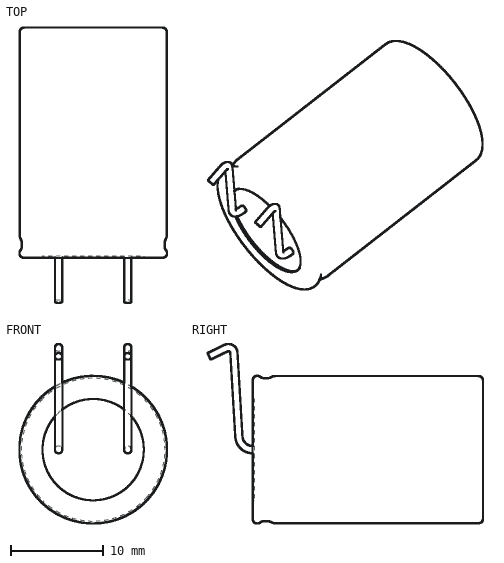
import cadquery as cq
import math

OVERALL_LENGTH = 29.9
LEAD_REACH = 4.9
CAN_LENGTH = OVERALL_LENGTH - LEAD_REACH

CAN_RADIUS = 7.995
BACK_FILLET = 0.5

RIM_RADIUS = 8.025
RIM_ROUND = 0.5
GROOVE_RADIUS = 7.77
RIM_END = 0.85
GROOVE_START = 1.2
GROOVE_END = 1.65
SHOULDER_START = 2.0
SHOULDER_END = 2.45

RECESS_RADIUS = 5.5
RECESS_DEPTH = 0.2

LEAD_RADIUS = 0.405
LEAD_SPACING = 7.5
LEAD_EMBED = 0.3
LOWER_BEND_RADIUS = 1.5
UPPER_BEND_RADIUS = 0.6
RISER_LENGTH = 9.12
RISER_ANGLE = 86.6
TIP_ANGLE = -26.0


def inflection_radius(start, middle, end, start_radius, end_radius):
    """Radius where two tangent arcs meet, both being parallel to the axis at their outer ends."""
    return start_radius + (end_radius - start_radius) * (middle - start) / (end - start)


def make_can():
    """Revolve the can profile, drawn as (radius, y), about the Y axis."""
    rim_center_radius = RIM_RADIUS - RIM_ROUND
    rim_end_radius = rim_center_radius + math.sqrt(RIM_ROUND**2 - (RIM_END - RIM_ROUND) ** 2)
    shoulder_radius = inflection_radius(
        GROOVE_END, SHOULDER_START, SHOULDER_END, GROOVE_RADIUS, CAN_RADIUS
    )
    profile = (
        cq.Workplane("XY")
        .moveTo(0, RECESS_DEPTH)
        .lineTo(RECESS_RADIUS, RECESS_DEPTH)
        .lineTo(RECESS_RADIUS, 0)
        .lineTo(rim_center_radius, 0)
        .threePointArc((RIM_RADIUS, RIM_ROUND), (rim_end_radius, RIM_END))
        .tangentArcPoint((GROOVE_RADIUS, GROOVE_START), relative=False)
        .lineTo(GROOVE_RADIUS, GROOVE_END)
        .tangentArcPoint((shoulder_radius, SHOULDER_START), relative=False)
        .tangentArcPoint((CAN_RADIUS, SHOULDER_END), relative=False)
        .lineTo(CAN_RADIUS, CAN_LENGTH - BACK_FILLET)
        .tangentArcPoint((CAN_RADIUS - BACK_FILLET, CAN_LENGTH), relative=False)
        .lineTo(0, CAN_LENGTH)
        .close()
    )
    return profile.revolve(360, (0, 0, 0), (0, 1, 0))


def make_lead(x):
    """Sweep a round wire out of the face, up a leaning riser and over to the tip."""
    riser = math.radians(RISER_ANGLE)
    tip = math.radians(TIP_ANGLE)

    riser_start = (
        -LOWER_BEND_RADIUS * math.sin(riser),
        LOWER_BEND_RADIUS * (1 - math.cos(riser)),
    )
    riser_end = (
        riser_start[0] - RISER_LENGTH * math.cos(riser),
        riser_start[1] + RISER_LENGTH * math.sin(riser),
    )
    tip_start = (
        riser_end[0] - UPPER_BEND_RADIUS * (math.sin(riser) - math.sin(tip)),
        riser_end[1] + UPPER_BEND_RADIUS * (math.cos(tip) - math.cos(riser)),
    )
    tip_end_y = -LEAD_REACH + LEAD_RADIUS * abs(math.sin(tip))
    tip_end = (tip_end_y, tip_start[1] + (tip_start[0] - tip_end_y) * math.tan(tip))

    start_y = RECESS_DEPTH + LEAD_EMBED
    path = (
        cq.Workplane("YZ", origin=(x, 0, 0))
        .moveTo(start_y, 0)
        .lineTo(0, 0)
        .tangentArcPoint(riser_start, relative=False)
        .lineTo(*riser_end)
        .tangentArcPoint(tip_start, relative=False)
        .lineTo(*tip_end)
    )
    return cq.Workplane("XZ", origin=(x, start_y, 0)).circle(LEAD_RADIUS).sweep(path)


result = make_can()
for side in (-1, 1):
    result = result.union(make_lead(side * LEAD_SPACING / 2))